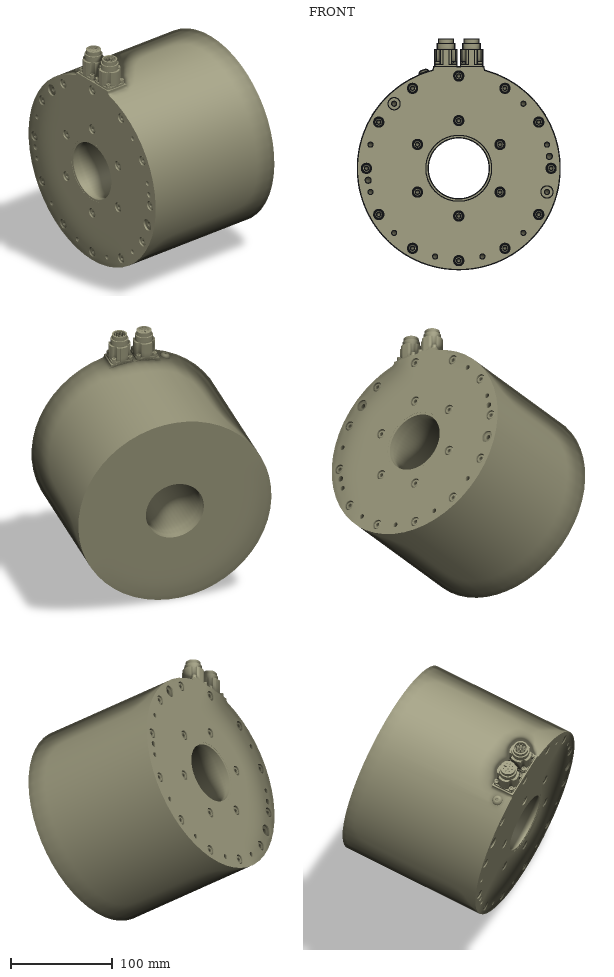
import cadquery as cq
import math

BODY_RADIUS = 100.0
BODY_LENGTH = 150.0
BORE_DIA = 60.0
BORE_RIM_DIA = 65.0
BORE_RIM_DEPTH = 0.2

PAD_HALF_WIDTH = 25.0
PAD_DEPTH = 23.2
PAD_TOP = 100.3
PAD_FILLET = 2.5
PAD_ROOT = 90.0

OUTER_SCREW_COUNT = 12
OUTER_SCREW_RADIUS = 91.0
INNER_SCREW_COUNT = 6
INNER_SCREW_RADIUS = 47.0
SCREW_SINK_DIA = 10.0
SCREW_SINK_DEPTH = 6.0
SCREW_HEAD_DIA = 8.5
SCREW_HEAD_HEIGHT = 5.0
SCREW_HEAD_CHAMFER = 0.5
SCREW_HEX = 4.0
SCREW_HEX_DEPTH = 2.5

HOLE_CIRCLE_RADIUS = 90.0
DRILL_TIP_ANGLE = 118.0
TAPPED_HOLE_DIA = 5.0
TAPPED_HOLE_DEPTH = 12.0
TAPPED_HOLE_ANGLES = (15, 45, 135, 165, 195, 225, 255, 285, 315, 345)
COUNTERBORE_DIA = 12.0
COUNTERBORE_DEPTH = 2.2
COUNTERBORED_ANGLES = (135, 345)
DOWEL_HOLE_DIA = 6.0
DOWEL_HOLE_DEPTH = 10.0
DOWEL_HOLE_ANGLES = (7.5, 187.5)

CONNECTOR_OFFSET = 12.65
CONNECTOR_Y = 12.0
CONNECTOR_TOP = 127.6
FLANGE_SIZE = 22.0
FLANGE_HEIGHT = 2.0
FLANGE_CORNER_RADIUS = 3.0
HOUSING_DIA = 21.8
HOUSING_TOP = 117.3
FRONT_RIB_WIDTH = 5.6
SIDE_RIB_WIDTH = 1.4
LOWER_BARREL_DIA = 17.5
LOWER_BARREL_TOP = 123.2
UPPER_BARREL_DIA = 15.0
FLANGE_SCREW_OFFSET = 8.3
FLANGE_WASHER_DIA = 5.0
FLANGE_WASHER_THICKNESS = 0.5
FLANGE_SCREW_DIA = 4.5
FLANGE_SCREW_HEIGHT = 2.5
FLANGE_SCREW_HEX = 2.0
FLANGE_SCREW_HEX_DEPTH = 1.2
SCREW_RELIEF_DIA = 5.8

CONTACT_DIA = 1.0
CONTACT_DEPTH = 5.0
OUTER_CONTACT_COUNT = 8
OUTER_CONTACT_RADIUS = 4.4
INNER_CONTACT_COUNT = 3
INNER_CONTACT_RADIUS = 1.8
INNER_CONTACT_START = 210.0
KEY_WIDTH = 1.2
KEY_LENGTH = 2.6
SOCKET_DIA = 12.0
SOCKET_DEPTH = 6.0

GROUND_SCREW_ANGLE = 20.0
GROUND_SCREW_DIA = 10.0
GROUND_SCREW_HEIGHT = 3.0
GROUND_SCREW_RIM = 0.6
GROUND_SCREW_TOP_DIA = 5.0
GROUND_SCREW_BULGE = 0.5
GROUND_SCREW_HEX = 3.0
GROUND_SCREW_HEX_DEPTH = 1.6
GROUND_SCREW_ROOT = 1.0

EMBED = 0.5


def polar(radius, angle):
    """X and Z of a point on a circle about the body axis."""
    radians = math.radians(angle)
    return radius * math.cos(radians), radius * math.sin(radians)


def front_cylinder(x, z, diameter, start, length):
    """Cylinder running from depth `start` below the front face into the body."""
    return cq.Workplane(cq.Solid.makeCylinder(
        diameter / 2, length, cq.Vector(x, start, z), cq.Vector(0, 1, 0)))


def drill_tip(x, z, diameter, start):
    """Cone left by a drill, with its wide end at depth `start`."""
    tip_length = diameter / 2 / math.tan(math.radians(DRILL_TIP_ANGLE / 2))
    return cq.Workplane(cq.Solid.makeCone(
        diameter / 2, 0, tip_length, cq.Vector(x, start, z), cq.Vector(0, 1, 0)))


def upright_cylinder(x, y, bottom, top, diameter):
    return cq.Workplane("XY", origin=(x, y, bottom)).circle(diameter / 2).extrude(top - bottom)


def hex_circumscribed_dia(across_flats):
    return across_flats / math.cos(math.pi / 6)


def make_pad():
    """Flat-topped pad whose sides blend into the cylinder with concave arcs."""
    arc_x = PAD_HALF_WIDTH + PAD_FILLET
    arc_z = math.sqrt((BODY_RADIUS + PAD_FILLET) ** 2 - arc_x ** 2)
    tangent_angle = math.atan2(arc_z, arc_x)
    tangent_x = BODY_RADIUS * math.cos(tangent_angle)
    tangent_z = BODY_RADIUS * math.sin(tangent_angle)
    middle_angle = math.pi + tangent_angle / 2
    middle_x = arc_x + PAD_FILLET * math.cos(middle_angle)
    middle_z = arc_z + PAD_FILLET * math.sin(middle_angle)
    return (
        cq.Workplane("XZ")
        .moveTo(-PAD_HALF_WIDTH, PAD_TOP)
        .lineTo(PAD_HALF_WIDTH, PAD_TOP)
        .lineTo(PAD_HALF_WIDTH, arc_z)
        .threePointArc((middle_x, middle_z), (tangent_x, tangent_z))
        .lineTo(tangent_x, PAD_ROOT)
        .lineTo(-tangent_x, PAD_ROOT)
        .lineTo(-tangent_x, tangent_z)
        .threePointArc((-middle_x, middle_z), (-PAD_HALF_WIDTH, arc_z))
        .close()
        .extrude(-PAD_DEPTH)
    )


def make_body():
    body = front_cylinder(0, 0, 2 * BODY_RADIUS, 0, BODY_LENGTH).union(make_pad())
    body = body.cut(front_cylinder(0, 0, BORE_DIA, 0, BODY_LENGTH))
    return body.cut(front_cylinder(0, 0, BORE_RIM_DIA, 0, BORE_RIM_DEPTH))


def cap_screw_cut(x, z):
    """Space around and inside a sunk cap screw: the sink less the socket head."""
    head_top = SCREW_SINK_DEPTH - SCREW_HEAD_HEIGHT
    head = front_cylinder(x, z, SCREW_HEAD_DIA, head_top, SCREW_HEAD_HEIGHT)
    head = head.faces("<Y").chamfer(SCREW_HEAD_CHAMFER)
    socket = (
        cq.Workplane("XZ", origin=(x, head_top, z))
        .transformed(rotate=(0, 0, 90))
        .polygon(6, hex_circumscribed_dia(SCREW_HEX))
        .extrude(-SCREW_HEX_DEPTH)
    )
    socket = socket.union(drill_tip(x, z, SCREW_HEX, head_top + SCREW_HEX_DEPTH))
    return front_cylinder(x, z, SCREW_SINK_DIA, 0, SCREW_SINK_DEPTH).cut(head.cut(socket))


def drilled_hole(angle, diameter, depth):
    """Blind hole on the hole circle with a conical drill tip."""
    x, z = polar(HOLE_CIRCLE_RADIUS, angle)
    return front_cylinder(x, z, diameter, 0, depth).union(drill_tip(x, z, diameter, depth))


def front_face_cuts():
    cuts = []
    for count, radius in ((OUTER_SCREW_COUNT, OUTER_SCREW_RADIUS), (INNER_SCREW_COUNT, INNER_SCREW_RADIUS)):
        for index in range(count):
            cuts.append(cap_screw_cut(*polar(radius, 90 + index * 360 / count)))
    for angle in TAPPED_HOLE_ANGLES:
        cuts.append(drilled_hole(angle, TAPPED_HOLE_DIA, TAPPED_HOLE_DEPTH))
    for angle in COUNTERBORED_ANGLES:
        x, z = polar(HOLE_CIRCLE_RADIUS, angle)
        cuts.append(front_cylinder(x, z, COUNTERBORE_DIA, 0, COUNTERBORE_DEPTH))
    for angle in DOWEL_HOLE_ANGLES:
        cuts.append(drilled_hole(angle, DOWEL_HOLE_DIA, DOWEL_HOLE_DEPTH))
    return cuts


def flange_screw_points(x):
    offsets = (-FLANGE_SCREW_OFFSET, FLANGE_SCREW_OFFSET)
    return [(x + dx, CONNECTOR_Y + dy) for dx in offsets for dy in offsets]


def connector_shell(x):
    """Square flange, ribbed housing with corner reliefs, and a stepped barrel."""
    flange_top = PAD_TOP + FLANGE_HEIGHT
    flange = (
        cq.Workplane("XY", origin=(x, CONNECTOR_Y, PAD_TOP - EMBED))
        .rect(FLANGE_SIZE, FLANGE_SIZE)
        .extrude(FLANGE_HEIGHT + EMBED)
        .edges("|Z").fillet(FLANGE_CORNER_RADIUS)
    )
    housing = upright_cylinder(x, CONNECTOR_Y, flange_top - EMBED, HOUSING_TOP, HOUSING_DIA)
    rib_plane = cq.Workplane("XY", origin=(x, CONNECTOR_Y, flange_top - EMBED))
    rib_height = HOUSING_TOP - flange_top + EMBED
    housing = housing.union(rib_plane.rect(FRONT_RIB_WIDTH, FLANGE_SIZE).extrude(rib_height))
    housing = housing.union(rib_plane.rect(FLANGE_SIZE, SIDE_RIB_WIDTH).extrude(rib_height))
    for px, py in flange_screw_points(x):
        housing = housing.cut(upright_cylinder(px, py, flange_top, HOUSING_TOP, SCREW_RELIEF_DIA))
    lower = upright_cylinder(x, CONNECTOR_Y, flange_top, LOWER_BARREL_TOP, LOWER_BARREL_DIA)
    upper = upright_cylinder(x, CONNECTOR_Y, flange_top, CONNECTOR_TOP, UPPER_BARREL_DIA)
    return flange.union(housing).union(lower).union(upper)


def add_flange_screws(connector, x):
    flange_top = PAD_TOP + FLANGE_HEIGHT
    washer_top = flange_top + FLANGE_WASHER_THICKNESS
    head_top = washer_top + FLANGE_SCREW_HEIGHT
    for px, py in flange_screw_points(x):
        washer = upright_cylinder(px, py, flange_top - EMBED, washer_top, FLANGE_WASHER_DIA)
        head = upright_cylinder(px, py, flange_top, head_top, FLANGE_SCREW_DIA)
        socket = (
            cq.Workplane("XY", origin=(px, py, head_top))
            .polygon(6, hex_circumscribed_dia(FLANGE_SCREW_HEX))
            .extrude(-FLANGE_SCREW_HEX_DEPTH)
        )
        connector = connector.union(washer.union(head).cut(socket))
    return connector


def contact_cylinders(x, depth):
    """Ring of outer contacts around a smaller group, reaching down from the barrel top."""
    base = cq.Workplane("XY", origin=(x, CONNECTOR_Y, CONNECTOR_TOP - depth))
    outer = base.polarArray(OUTER_CONTACT_RADIUS, 0, 360, OUTER_CONTACT_COUNT)
    inner = base.polarArray(INNER_CONTACT_RADIUS, INNER_CONTACT_START, 360, INNER_CONTACT_COUNT)
    contact_radius = CONTACT_DIA / 2
    return outer.circle(contact_radius).extrude(depth).union(inner.circle(contact_radius).extrude(depth))


def make_hole_connector(x):
    """Connector with a flat face pierced by contact holes and a key slot."""
    connector = add_flange_screws(connector_shell(x), x)
    key_y = CONNECTOR_Y + OUTER_CONTACT_RADIUS - KEY_LENGTH / 2
    key = (
        cq.Workplane("XY", origin=(x, key_y, CONNECTOR_TOP))
        .rect(KEY_WIDTH, KEY_LENGTH)
        .extrude(-CONTACT_DEPTH)
    )
    return connector.cut(contact_cylinders(x, CONTACT_DEPTH)).cut(key)


def make_pin_connector(x):
    """Connector with an open socket that holds contact pins."""
    connector = add_flange_screws(connector_shell(x), x)
    socket_bottom = CONNECTOR_TOP - SOCKET_DEPTH
    connector = connector.cut(upright_cylinder(x, CONNECTOR_Y, socket_bottom, CONNECTOR_TOP, SOCKET_DIA))
    pins = contact_cylinders(x, SOCKET_DEPTH + EMBED).translate((0, 0, -EMBED))
    return connector.union(pins)


def make_ground_screw():
    """Domed screw head, modelled upright on top of the body and swung round its axis."""
    radius = GROUND_SCREW_DIA / 2
    top_radius = GROUND_SCREW_TOP_DIA / 2
    head = (
        cq.Workplane("XZ")
        .moveTo(0, -GROUND_SCREW_ROOT)
        .lineTo(radius, -GROUND_SCREW_ROOT)
        .lineTo(radius, GROUND_SCREW_RIM)
        .sagittaArc((top_radius, GROUND_SCREW_HEIGHT), -GROUND_SCREW_BULGE)
        .lineTo(0, GROUND_SCREW_HEIGHT)
        .close()
        .revolve(360, (0, 0, 0), (0, 1, 0))
    )
    socket = (
        cq.Workplane("XY", origin=(0, 0, GROUND_SCREW_HEIGHT))
        .polygon(6, hex_circumscribed_dia(GROUND_SCREW_HEX))
        .extrude(-GROUND_SCREW_HEX_DEPTH)
    )
    head = head.cut(socket).translate((0, CONNECTOR_Y, BODY_RADIUS))
    return head.rotate((0, 0, 0), (0, 1, 0), -GROUND_SCREW_ANGLE)


result = make_body()
for face_cut in front_face_cuts():
    result = result.cut(face_cut)
result = result.union(make_hole_connector(-CONNECTOR_OFFSET))
result = result.union(make_pin_connector(CONNECTOR_OFFSET))
result = result.union(make_ground_screw())